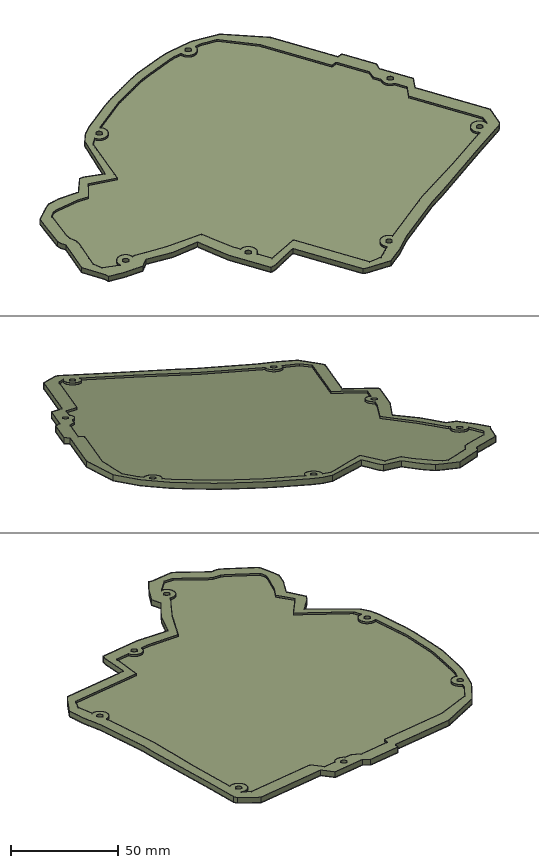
import cadquery as cq

width = 173.31
length = 197.92
thickness = 3.0
pocket_depth = 1.0

hole_diameter = 3.0
pad_diameter = 8.6
hole_centres = [
    (112.3, 190.8),
    (165.5, 175.3),
    (163.3, 79.3),
    (107.2, 44.0),
    (57.8, 14.4),
    (6.3, 96.1),
    (17.6, 170.6),
]

top_edge_y = 195.3
shoulder_y = 189.3
lower_right_y = 55.3
foot_edge_y = 38.1
top_rim = 7.1
lower_right_rim = 6.0
foot_rim = 6.5
left_rim = 4.8
right_rim = 6.0
right_waist_x = 169.2

outer_top = [
    (83.3, top_edge_y),
    (84.1, length),
    (102.0, length),
    (104.6, top_edge_y),
    (122.2, top_edge_y),
    (125.8, shoulder_y),
    (164.5, shoulder_y),
]
outer_right = [
    (172.7, 181.9),
    (width, 180.1),
    (172.0, 161.0),
    (170.1, 125.0),
    (right_waist_x, 114.6),
    (right_waist_x, 86.0),
    (170.4, 75.9),
    (170.4, 66.2),
]
outer_bottom = [
    (162.3, 56.3),
    (161.1, lower_right_y),
    (124.9, lower_right_y),
    (122.7, 40.7),
    (121.7, foot_edge_y),
    (99.6, foot_edge_y),
    (82.4, 41.0),
]
outer_thumb = [
    (75.3, 29.1),
    (66.0, 19.0),
    (66.9, 13.8),
    (61.0, 5.8),
    (55.6, 0.0),
    (53.7, 0.6),
    (41.4, 0.8),
    (27.5, 13.2),
    (25.1, 13.2),
    (22.9, 13.9),
    (8.5, 25.5),
    (7.4, 34.2),
    (7.2, 37.6),
    (10.0, 43.4),
    (16.1, 51.7),
    (12.3, 61.3),
    (13.7, 63.2),
    (21.7, 69.6),
]
outer_left = [
    (2.7, 87.8),
    (0.7, 92.8),
    (0.0, 98.2),
    (0.0, 116.1),
    (0.4, 122.0),
    (2.6, 139.3),
    (3.5, 144.6),
    (8.1, 160.1),
    (9.6, 164.3),
    (13.3, 171.4),
    (14.4, 173.5),
    (16.4, 177.1),
    (26.1, 187.6),
    (48.5, top_edge_y),
]

pocket_top = [
    (83.5, top_edge_y - top_rim),
    (84.3, 191.1),
    (101.4, 191.1),
    (104.7, top_edge_y - top_rim),
    (122.2, top_edge_y - top_rim),
    (125.8, shoulder_y - top_rim),
    (163.9, shoulder_y - top_rim),
]
pocket_right = [
    (167.5, 179.2),
    (167.4, 170.6),
    (165.8, 144.3),
    (right_waist_x - right_rim, 116.1),
    (right_waist_x - right_rim, 83.6),
    (164.2, 75.3),
    (165.0, 66.6),
]
pocket_bottom = [
    (161.7, lower_right_y + lower_right_rim),
    (122.4, lower_right_y + lower_right_rim),
    (119.2, foot_edge_y + foot_rim),
    (98.6, foot_edge_y + foot_rim),
    (81.6, 47.1),
]
pocket_thumb = [
    (70.8, 31.8),
    (64.4, 24.4),
    (59.8, 19.3),
    (57.2, 10.2),
    (50.0, 4.6),
    (45.1, 5.5),
    (33.2, 16.3),
    (31.0, 17.8),
    (26.9, 18.6),
    (24.8, 19.8),
    (12.4, 30.1),
    (11.9, 33.0),
    (12.4, 35.1),
    (18.3, 46.0),
    (22.0, 50.6),
    (17.7, 59.3),
    (28.2, 69.0),
]
pocket_left = [
    (7.1, 87.5),
    (6.0, 91.7),
    (left_rim, 99.1),
    (left_rim, 121.1),
    (7.2, 139.9),
    (8.3, 144.6),
    (12.8, 160.1),
    (14.0, 163.4),
    (15.8, 166.7),
    (19.8, 174.4),
    (20.9, 176.9),
    (26.7, 183.3),
    (46.4, top_edge_y - top_rim),
]


def prism(outline, bottom_z, height):
    """Straight-sided block standing on bottom_z."""
    return cq.Workplane("XY", origin=(0, 0, bottom_z)).polyline(outline).close().extrude(height)


def cylinders(diameter, bottom_z, height):
    """One upright cylinder at every screw position."""
    plane = cq.Workplane("XY", origin=(0, 0, bottom_z))
    return plane.pushPoints(hole_centres).circle(diameter / 2).extrude(height)


def pocket():
    """Volume removed above the floor, leaving the screw pads standing."""
    outline = pocket_top + pocket_right + pocket_bottom + pocket_thumb + pocket_left
    floor_z = thickness - pocket_depth
    pads = cylinders(pad_diameter, floor_z, pocket_depth)
    return prism(outline, floor_z, pocket_depth).cut(pads)


plate_outline = outer_top + outer_right + outer_bottom + outer_thumb + outer_left
plate = prism(plate_outline, 0, thickness)
result = plate.cut(pocket()).cut(cylinders(hole_diameter, 0, thickness))